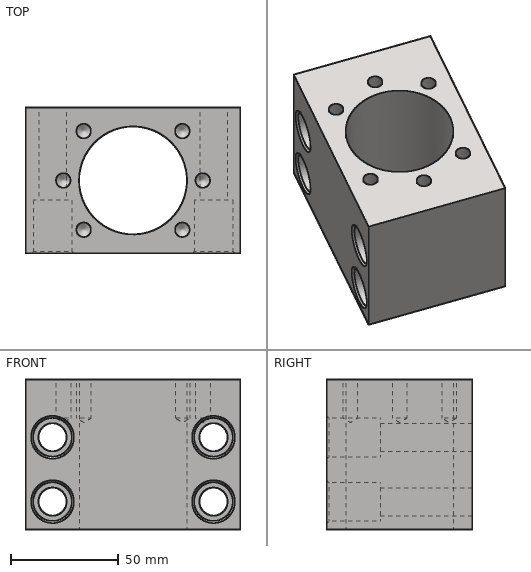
import cadquery as cq
import math

length = 100.0
width = 68.0
height = 70.0

bore_diameter = 50.2

tap_diameter = 6.8
tap_depth = 18.0
tap_circle_radius = 32.5
tap_angles = (0, 45, 135, 180, 225, 315)
drill_point_angle = 118.0

mount_spacing_x = 75.0
mount_spacing_z = 30.0
mount_lower_z = 13.0
mount_diameter = 13.0
counterbore_diameter = 18.0
counterbore_depth = 25.0
counterbore_mouth_diameter = 20.0
mouth_chamfer = (counterbore_mouth_diameter - counterbore_diameter) / 2


def tapping_hole(angle):
    """Blind drilled hole with a conical bottom, as a solid to cut away."""
    radius = tap_diameter / 2
    point_length = radius / math.tan(math.radians(drill_point_angle / 2))
    profile = (
        cq.Workplane("XZ")
        .lineTo(radius, 0)
        .lineTo(radius, -tap_depth)
        .lineTo(0, -tap_depth - point_length)
        .close()
    )
    drill = profile.revolve(360, (0, 0, 0), (0, 1, 0))
    x = tap_circle_radius * math.cos(math.radians(angle))
    y = tap_circle_radius * math.sin(math.radians(angle))
    return drill.translate((x, y, height))


def mounting_hole(x, z):
    """Through hole with a chamfered counterbore, as a solid to cut away."""
    hole_radius = mount_diameter / 2
    counterbore_radius = counterbore_diameter / 2
    profile = (
        cq.Workplane("XY")
        .lineTo(counterbore_mouth_diameter / 2, 0)
        .lineTo(counterbore_radius, mouth_chamfer)
        .lineTo(counterbore_radius, counterbore_depth)
        .lineTo(hole_radius, counterbore_depth)
        .lineTo(hole_radius, width)
        .lineTo(0, width)
        .close()
    )
    cutter = profile.revolve(360, (0, 0, 0), (0, 1, 0))
    return cutter.translate((x, -width / 2, z))


result = cq.Workplane("XY").box(length, width, height, centered=(True, True, False))
result = result.faces(">Z").workplane().hole(bore_diameter)

for tap_angle in tap_angles:
    result = result.cut(tapping_hole(tap_angle))

for mount_x in (-mount_spacing_x / 2, mount_spacing_x / 2):
    for mount_z in (mount_lower_z, mount_lower_z + mount_spacing_z):
        result = result.cut(mounting_hole(mount_x, mount_z))